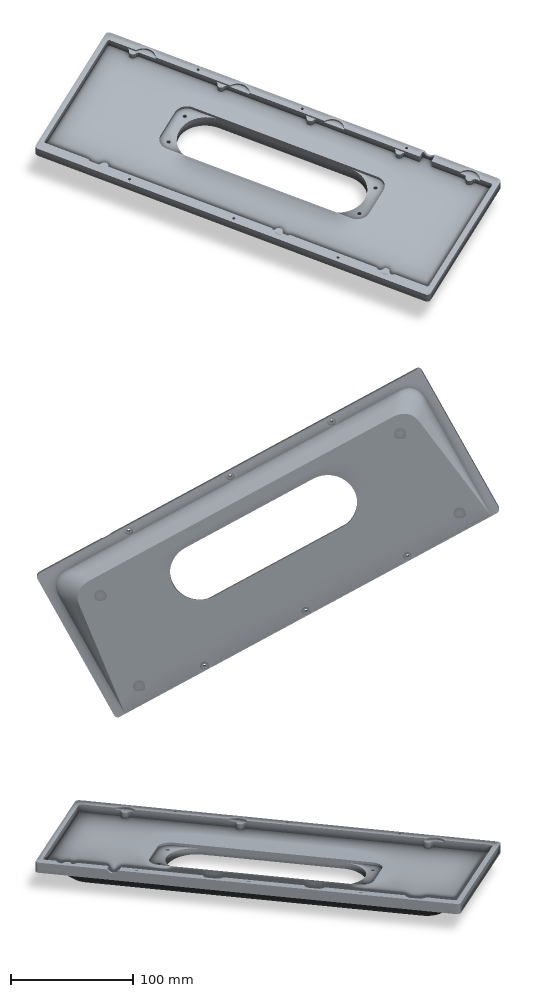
import cadquery as cq
import math


LENGTH = 359.5
WIDTH = 136.5
HEIGHT = 23.0
RIM_HEIGHT = 9.0
RIM_CORNER_RADIUS = 3.2

TRAY_LENGTH = 350.3
TRAY_REAR_Y = 60.8
TRAY_FRONT_Y = -60.0
TRAY_DEPTH = 7.2
TRAY_CORNER_RADIUS = 1.8

WEDGE_LENGTH = 342.7
WEDGE_FRONT_Y = -67.5
WEDGE_REAR_Y = 60.0
WEDGE_EDGE_RADIUS = 22.3
WEDGE_DROP = HEIGHT - RIM_HEIGHT
WEDGE_LOWEST_Y = WEDGE_REAR_Y - WEDGE_DROP
UNDERSIDE_ANGLE = math.degrees(math.atan2(WEDGE_DROP, WEDGE_LOWEST_Y - WEDGE_FRONT_Y))

WINDOW_Y = 7.5
WINDOW_WIDTH = 48.5
SLOT_LENGTH = 168.3
LEDGE_LENGTH = 190.0
LEDGE_DEPTH = 3.0
LEDGE_CORNER_RADIUS = 10.8
LEDGE_HOLE_DIAMETER = 3.4
LEDGE_HOLE_DEPTH = 3.5
LEDGE_HOLE_SPACING_X = 173.7
LEDGE_HOLE_SPACING_Y = 30.2

SCREW_PITCH_X = 95.0
SCREW_Y = 64.5
SCREW_DIAMETER = 2.5
SCREW_HEAD_DIAMETER = 7.2
SCREW_HEAD_DEPTH = 1.5

SEAT_DEPTH = 1.8
TAB_RADIUS = 3.2
TAB_ROOT_RADIUS = 1.0
REAR_TAB_XS = (-152.0, -71.5, 9.7, 90.5, 154.5)
FRONT_TAB_XS = (-120.5, 38.5, 136.0)
NOTCH_RADIUS = 10.0
REAR_NOTCH_REACH = 5.5
FRONT_NOTCH_REACH = 4.0
REAR_NOTCH_XS = (-140.5, -55.0, 31.0, 154.5)
FRONT_NOTCH_XS = (-126.2, 41.0, 136.3)

OUTLET_X = 114.0
OUTLET_WIDTH = 10.8
OUTLET_WALL = 1.8
OUTLET_HOLE_DIAMETER = 10.0
OUTLET_HOLE_Z = 2.0

FOOT_DIAMETER = 10.0
FOOT_DEPTH = 1.0
FRONT_FOOT_X = 150.0
FRONT_FOOT_Y = -53.2
REAR_FOOT_X = 140.2
REAR_FOOT_Y = 30.2


def block(length, width, top, height):
    """Box centred on the Z axis, hanging down from the given top level."""
    return cq.Workplane("XY").workplane(offset=top - height).rect(length, width).extrude(height)


def underside_z(y):
    return -RIM_HEIGHT - (y - WEDGE_FRONT_Y) * math.tan(math.radians(UNDERSIDE_ANGLE))


def make_wedge():
    side_profile = (
        cq.Workplane("YZ")
        .polyline([
            (WEDGE_FRONT_Y, -RIM_HEIGHT),
            (WEDGE_REAR_Y, -RIM_HEIGHT),
            (WEDGE_LOWEST_Y, -HEIGHT),
        ])
        .close()
        .extrude(LENGTH / 2, both=True)
    )
    half_top = WEDGE_LENGTH / 2
    half_bottom = half_top - WEDGE_DROP
    end_profile = (
        cq.Workplane("XZ")
        .polyline([
            (-half_top, -RIM_HEIGHT),
            (half_top, -RIM_HEIGHT),
            (half_bottom, -HEIGHT),
            (-half_bottom, -HEIGHT),
        ])
        .close()
        .extrude(WIDTH, both=True)
    )
    wedge = side_profile.intersect(end_profile)
    for side in (-1, 1):
        edge_selector = cq.selectors.ParallelDirSelector(cq.Vector(side, 1, 1))
        wedge = wedge.edges(edge_selector).fillet(WEDGE_EDGE_RADIUS)
    return wedge


def make_tab(x, wall_y, outward):
    """Half-round tab on the tray floor, flared where it joins the front or rear tray wall."""
    half_root = TAB_RADIUS + TAB_ROOT_RADIUS
    flare_y = wall_y - outward * TAB_ROOT_RADIUS
    tip_y = flare_y - outward * TAB_RADIUS
    root_y = wall_y + outward * TAB_ROOT_RADIUS
    return (
        cq.Workplane("XY")
        .workplane(offset=-TRAY_DEPTH)
        .moveTo(x - half_root, root_y)
        .lineTo(x - half_root, wall_y)
        .radiusArc((x - TAB_RADIUS, flare_y), -outward * TAB_ROOT_RADIUS)
        .threePointArc((x, tip_y), (x + TAB_RADIUS, flare_y))
        .radiusArc((x + half_root, wall_y), -outward * TAB_ROOT_RADIUS)
        .lineTo(x + half_root, root_y)
        .close()
        .extrude(TRAY_DEPTH - SEAT_DEPTH)
    )


def make_notch(x, wall_y, outward, reach):
    """Round notch in the top of the front or rear rim, open to the tray."""
    centre_y = wall_y + outward * (reach - NOTCH_RADIUS)
    return cq.Workplane("XY").center(x, centre_y).circle(NOTCH_RADIUS).extrude(-SEAT_DEPTH)


def cut_window(body):
    floor = cq.Workplane("XY").workplane(offset=-TRAY_DEPTH).center(0, WINDOW_Y)
    ledge = (
        floor.rect(LEDGE_LENGTH, WINDOW_WIDTH)
        .extrude(-LEDGE_DEPTH)
        .edges("|Z")
        .fillet(LEDGE_CORNER_RADIUS)
    )
    slot = floor.slot2D(SLOT_LENGTH, WINDOW_WIDTH).extrude(-HEIGHT)
    holes = (
        floor.rect(LEDGE_HOLE_SPACING_X, LEDGE_HOLE_SPACING_Y, forConstruction=True)
        .vertices()
        .circle(LEDGE_HOLE_DIAMETER / 2)
        .extrude(-LEDGE_DEPTH - LEDGE_HOLE_DEPTH)
    )
    return body.cut(ledge).cut(slot).cut(holes)


def cut_screw_holes(body):
    centres = [(i * SCREW_PITCH_X, side * SCREW_Y) for i in (-1, 0, 1) for side in (-1, 1)]
    shanks = cq.Workplane("XY").pushPoints(centres).circle(SCREW_DIAMETER / 2).extrude(-HEIGHT)
    heads = (
        cq.Workplane("XY")
        .workplane(offset=-HEIGHT)
        .pushPoints(centres)
        .circle(SCREW_HEAD_DIAMETER / 2)
        .extrude(WEDGE_DROP + SCREW_HEAD_DEPTH)
    )
    return body.cut(shanks).cut(heads)


def cut_outlet(body):
    inner_face_y = WIDTH / 2 - OUTLET_WALL
    gap_length = inner_face_y - TRAY_REAR_Y
    gap = block(OUTLET_WIDTH, gap_length, 0, TRAY_DEPTH).translate(
        (OUTLET_X, inner_face_y - gap_length / 2, 0)
    )
    hole = (
        cq.Workplane("XZ", origin=(OUTLET_X, WIDTH / 2, OUTLET_HOLE_Z))
        .circle(OUTLET_HOLE_DIAMETER / 2)
        .extrude(OUTLET_WALL)
    )
    return body.cut(gap).cut(hole)


def cut_feet(body):
    for x, y in ((FRONT_FOOT_X, FRONT_FOOT_Y), (REAR_FOOT_X, REAR_FOOT_Y)):
        for side in (-1, 1):
            recess = (
                cq.Workplane("XY")
                .circle(FOOT_DIAMETER / 2)
                .extrude(FOOT_DEPTH)
                .rotate((0, 0, 0), (1, 0, 0), -UNDERSIDE_ANGLE)
                .translate((side * x, y, underside_z(y)))
            )
            body = body.cut(recess)
    return body


rim = block(LENGTH, WIDTH, 0, RIM_HEIGHT).edges("|Z").fillet(RIM_CORNER_RADIUS)
tray_width = TRAY_REAR_Y - TRAY_FRONT_Y
tray = (
    block(TRAY_LENGTH, tray_width, 0, TRAY_DEPTH)
    .edges("|Z")
    .fillet(TRAY_CORNER_RADIUS)
    .translate((0, TRAY_FRONT_Y + tray_width / 2, 0))
)
body = rim.union(make_wedge()).cut(tray)

for wall_y, outward, tab_xs, notch_xs, notch_reach in (
    (TRAY_REAR_Y, 1, REAR_TAB_XS, REAR_NOTCH_XS, REAR_NOTCH_REACH),
    (TRAY_FRONT_Y, -1, FRONT_TAB_XS, FRONT_NOTCH_XS, FRONT_NOTCH_REACH),
):
    for x in tab_xs:
        body = body.union(make_tab(x, wall_y, outward))
    for x in notch_xs:
        body = body.cut(make_notch(x, wall_y, outward, notch_reach))

body = cut_window(body)
body = cut_screw_holes(body)
body = cut_outlet(body)
result = cut_feet(body)